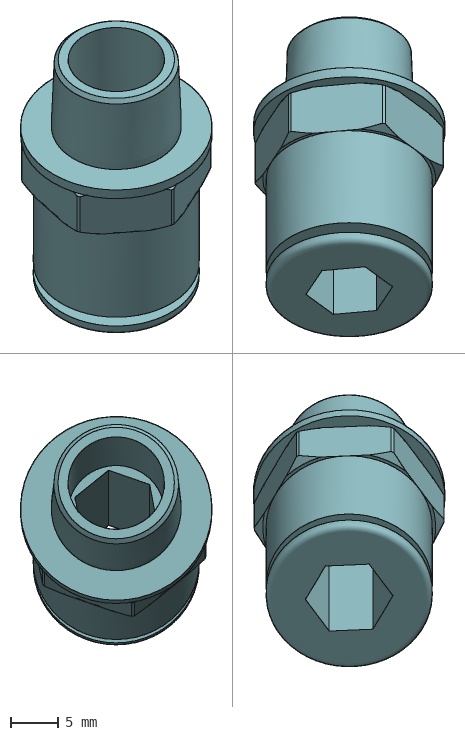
import cadquery as cq
import math

total_height = 31.1
collar_top = 1.27
groove_top = 2.52
hex_bottom = 14.45
flange_bottom = 20.45
flange_top = 21.67
taper_bottom = 22.57

hex_across_flats = 17.5
body_radius = hex_across_flats / 2
groove_radius = 6.37
collar_fillet = 0.62
flange_radius = 10.09
spigot_base_radius = 6.85
spigot_top_radius = 6.55
spigot_chamfer = 0.45

hex_corner_radius = 10.0
hex_bevel_radius = 9.1
hex_bevel_angle = 30.0

bore_radius = 5.07
bore_bottom = flange_bottom
socket_across_flats = 8.0


def cylinder(radius, bottom, top):
    return cq.Workplane("XY").workplane(offset=bottom).circle(radius).extrude(top - bottom)


def hexagon(across_flats, bottom, top):
    """Hexagonal prism with two corners on the X axis."""
    corner_diameter = across_flats / math.cos(math.radians(30))
    base = cq.Workplane("XY").workplane(offset=bottom)
    return base.polygon(6, corner_diameter).extrude(top - bottom)


def make_nut():
    """Hexagonal prism trimmed by a cylinder with a conical bevel at each end."""
    bevel_width = hex_corner_radius - hex_bevel_radius
    bevel_height = bevel_width * math.tan(math.radians(hex_bevel_angle))
    envelope = (
        cq.Workplane("XZ")
        .moveTo(0, hex_bottom)
        .lineTo(hex_bevel_radius, hex_bottom)
        .lineTo(hex_corner_radius, hex_bottom + bevel_height)
        .lineTo(hex_corner_radius, flange_bottom - bevel_height)
        .lineTo(hex_bevel_radius, flange_bottom)
        .lineTo(0, flange_bottom)
        .close()
        .revolve(360, (0, 0), (0, 1))
    )
    return hexagon(hex_across_flats, hex_bottom, flange_bottom).intersect(envelope)


def make_spigot():
    """Short straight neck, slightly tapered length and chamfered rim."""
    return (
        cq.Workplane("XZ")
        .moveTo(0, flange_top)
        .lineTo(spigot_base_radius, flange_top)
        .lineTo(spigot_base_radius, taper_bottom)
        .lineTo(spigot_top_radius, total_height - spigot_chamfer)
        .lineTo(spigot_top_radius - spigot_chamfer, total_height)
        .lineTo(0, total_height)
        .close()
        .revolve(360, (0, 0), (0, 1))
    )


collar = cylinder(body_radius, 0, collar_top).faces("<Z").edges().fillet(collar_fillet)
outer = (
    collar
    .union(cylinder(groove_radius, collar_top, groove_top))
    .union(cylinder(body_radius, groove_top, hex_bottom))
    .union(make_nut())
    .union(cylinder(flange_radius, flange_bottom, flange_top))
    .union(make_spigot())
)

bore = cylinder(bore_radius, bore_bottom, total_height)
socket = hexagon(socket_across_flats, 0, bore_bottom)
result = outer.cut(bore).cut(socket)